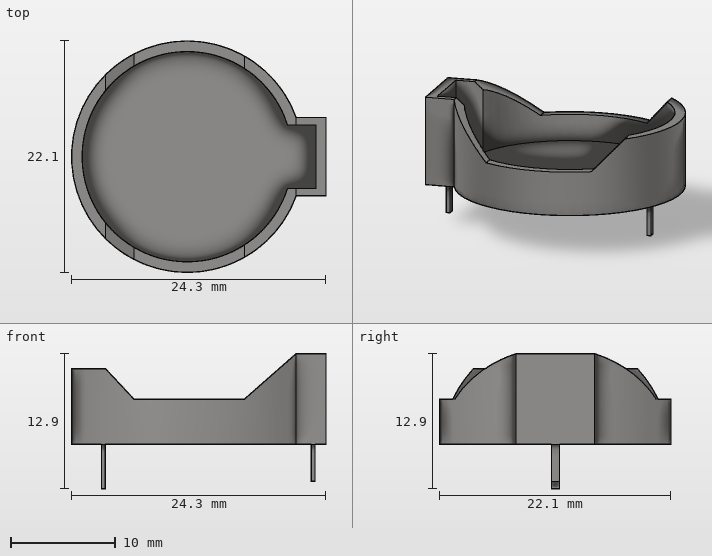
import cadquery as cq

overall_width = 22.1
outer_radius = overall_width / 2
cup_radius = 10.04
floor_thickness = 1.7

overall_length = 24.3
box_end_x = overall_length - outer_radius
box_width = 7.48
box_end_wall = 1.0
box_side_wall = 0.7

rear_height = 7.22
low_height = 4.3
box_height = 8.65
rear_slope_start_x = -7.8
rear_slope_end_x = -5.08
front_slope_start_x = 5.45
front_slope_end_x = (outer_radius**2 - (box_width / 2) ** 2) ** 0.5

pin_thickness = 0.4
pin_width = 0.78
rear_pin_x = -8.0
rear_pin_length = 4.25
front_pin_x = 12.0
front_pin_length = 3.55


def round_with_box(radius, end_x, width, bottom_z):
    """Disc joined to a box reaching end_x, from bottom_z up to the box height."""
    height = box_height - bottom_z
    base = cq.Workplane("XY").workplane(offset=bottom_z)
    disc = base.circle(radius).extrude(height)
    box = base.center(end_x / 2, 0).rect(end_x, width).extrude(height)
    return disc.union(box)


def rim_envelope():
    """Side profile of the stepped rim, extruded across the full part width."""
    return (
        cq.Workplane("XZ")
        .moveTo(-outer_radius, 0)
        .lineTo(-outer_radius, rear_height)
        .lineTo(rear_slope_start_x, rear_height)
        .lineTo(rear_slope_end_x, low_height)
        .lineTo(front_slope_start_x, low_height)
        .lineTo(front_slope_end_x, box_height)
        .lineTo(box_end_x, box_height)
        .lineTo(box_end_x, 0)
        .close()
        .extrude(outer_radius, both=True)
    )


def pin(x, length):
    """Flat pin hanging from the underside."""
    return cq.Workplane("XY").center(x, 0).rect(pin_thickness, pin_width).extrude(-length)


body = round_with_box(outer_radius, box_end_x, box_width, 0)
cavity = round_with_box(
    cup_radius,
    box_end_x - box_end_wall,
    box_width - 2 * box_side_wall,
    floor_thickness,
)
holder = body.intersect(rim_envelope()).cut(cavity)

result = holder.union(pin(rear_pin_x, rear_pin_length)).union(pin(front_pin_x, front_pin_length))